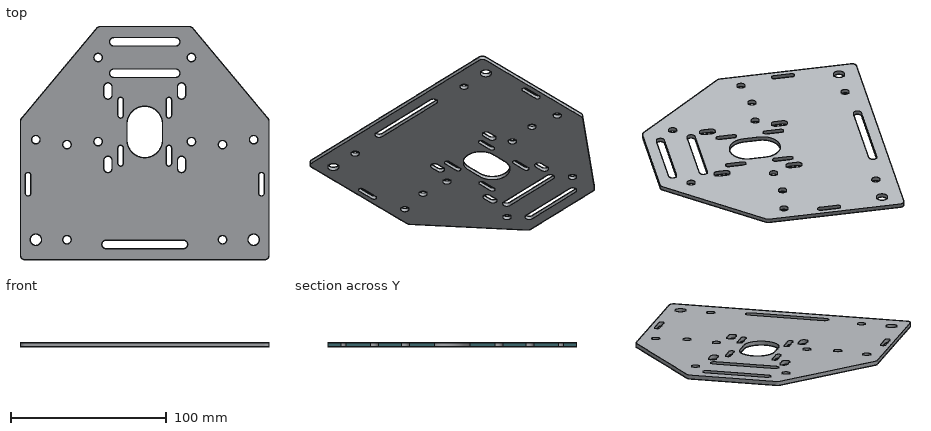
import cadquery as cq

WIDTH = 160
DEPTH = 150.0
THICKNESS = 2.7
TOP_EDGE_WIDTH = 60.0
SHOULDER_Y = 15.0
CORNER_RADIUS = 3.0

HOLE_DIAMETER = 5.3
LARGE_HOLE_DIAMETER = 7.2
INNER_HOLE_X = TOP_EDGE_WIDTH / 2
HOLE_COLUMN_PITCH = 20.0
MIDDLE_HOLE_X = INNER_HOLE_X + HOLE_COLUMN_PITCH
OUTER_HOLE_X = MIDDLE_HOLE_X + HOLE_COLUMN_PITCH
REAR_HOLE_Y = 55.0
INNER_HOLE_Y = 1.0
MIDDLE_HOLE_Y = -1.0
OUTER_HOLE_Y = 2.2
FRONT_HOLE_Y = -62.0

LONG_SLOT_WIDTH = 5.3
REAR_SLOT_LENGTH = 45.1
REAR_SLOT_YS = (45.0, 65.1)
FRONT_SLOT_LENGTH = 55.0
FRONT_SLOT_Y = -65.1

OPENING_WIDTH = 22.7
OPENING_LENGTH = 33.0
OPENING_Y = 7.2
ADJUST_SLOT_X = 23.7
ADJUST_SLOT_Y = 10.0
ADJUST_SLOT_SPACING = 47.2
ADJUST_SLOT_LENGTH = 10.4
ADJUST_SLOT_WIDTH = 5.1
NARROW_SLOT_WIDTH = 3.4
NARROW_SLOT_X = 15.5
NARROW_SLOT_Y = 7.4
NARROW_SLOT_SPACING = 30.9
NARROW_SLOT_LENGTH = 13.3

SIDE_SLOT_X = 75.0
SIDE_SLOT_Y = -26.4
SIDE_SLOT_LENGTH = 15.0


def mirrored(x, ys):
    return [(side * x, y) for side in (-1, 1) for y in ys]


def spaced_pair(center, spacing):
    return (center - spacing / 2, center + spacing / 2)


def make_plate():
    half_width = WIDTH / 2
    half_depth = DEPTH / 2
    half_top = TOP_EDGE_WIDTH / 2
    outline = [
        (-half_width, -half_depth),
        (half_width, -half_depth),
        (half_width, SHOULDER_Y),
        (half_top, half_depth),
        (-half_top, half_depth),
        (-half_width, SHOULDER_Y),
    ]
    plate = cq.Workplane("XY").polyline(outline).close().extrude(THICKNESS)
    return plate.edges("|Z").fillet(CORNER_RADIUS)


def cut_holes(body, points, diameter):
    cutter = cq.Workplane("XY").pushPoints(points).circle(diameter / 2).extrude(THICKNESS)
    return body.cut(cutter)


def cut_slots(body, points, length, width, angle):
    """Cut round-ended through slots; the angle in degrees is measured from X."""
    cutter = cq.Workplane("XY").pushPoints(points).slot2D(length, width, angle).extrude(THICKNESS)
    return body.cut(cutter)


ALONG_X = 0
ALONG_Y = 90

small_holes = (
    mirrored(INNER_HOLE_X, (INNER_HOLE_Y, REAR_HOLE_Y))
    + mirrored(MIDDLE_HOLE_X, (FRONT_HOLE_Y, MIDDLE_HOLE_Y))
    + mirrored(OUTER_HOLE_X, (OUTER_HOLE_Y,))
)
rear_slots = [(0, y) for y in REAR_SLOT_YS]
adjust_slots = mirrored(ADJUST_SLOT_X, spaced_pair(ADJUST_SLOT_Y, ADJUST_SLOT_SPACING))
narrow_slots = mirrored(NARROW_SLOT_X, spaced_pair(NARROW_SLOT_Y, NARROW_SLOT_SPACING))
side_slots = mirrored(SIDE_SLOT_X, (SIDE_SLOT_Y,))

result = make_plate()
result = cut_holes(result, small_holes, HOLE_DIAMETER)
result = cut_holes(result, mirrored(OUTER_HOLE_X, (FRONT_HOLE_Y,)), LARGE_HOLE_DIAMETER)
result = cut_slots(result, rear_slots, REAR_SLOT_LENGTH, LONG_SLOT_WIDTH, ALONG_X)
result = cut_slots(result, [(0, FRONT_SLOT_Y)], FRONT_SLOT_LENGTH, LONG_SLOT_WIDTH, ALONG_X)
result = cut_slots(result, [(0, OPENING_Y)], OPENING_LENGTH, OPENING_WIDTH, ALONG_Y)
result = cut_slots(result, adjust_slots, ADJUST_SLOT_LENGTH, ADJUST_SLOT_WIDTH, ALONG_Y)
result = cut_slots(result, narrow_slots, NARROW_SLOT_LENGTH, NARROW_SLOT_WIDTH, ALONG_Y)
result = cut_slots(result, side_slots, SIDE_SLOT_LENGTH, NARROW_SLOT_WIDTH, ALONG_Y)